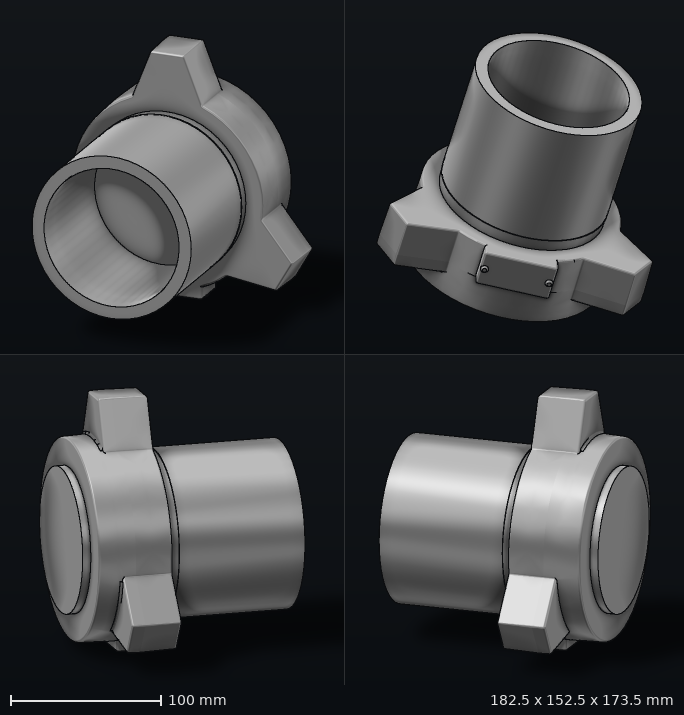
import cadquery as cq
import math


overall_length = 152.5
spigot_end = 56.8
spigot_radius = 49.7
neck_radius = 57.0
neck_end = -8.2
pipe_radius = 57.5
bore_radius = 48.7
pipe_end = spigot_end - overall_length

nut_radius = 69.7
nut_front = 51.1
parting_height = 25.5
draft_angle = 1.5
edge_radius = 1.6

lug_count = 3
lug_front = 34.7
lug_tip_distance = 98.5
lug_tip_half_width = 12.6
lug_side_angle = 21.4
collar_half_width = 22.8

tab_half_width = 25.2
tab_reach = 73.4

stud_half_spacing = 22.3
stud_position = 12.8
stud_base_radius = 2.7
stud_tip_radius = 1.5
stud_reach = 75.0


def plane_at(y):
    """Plane across the axis, with its local axes along X and Z and its normal toward -Y."""
    return cq.Workplane("XZ", origin=(0, y, 0))


def cylinder(radius, y_start, y_end):
    return plane_at(y_end).circle(radius).extrude(y_end - y_start)


def turned(angle):
    """Location turned about the centre of a sketch."""
    return cq.Location(cq.Vector(0, 0, 0), cq.Vector(0, 0, 1), angle)


def lug_angles():
    return [index * 360 / lug_count for index in range(lug_count)]


def nut_outline():
    """Nut circle with its lugs; the circle starts inside the top lug, clear of every corner."""
    buried_distance = nut_radius / 2
    side_slope = math.tan(math.radians(lug_side_angle))
    buried_half_width = lug_tip_half_width + (lug_tip_distance - buried_distance) * side_slope
    lug_points = [
        (lug_tip_half_width, lug_tip_distance),
        (-lug_tip_half_width, lug_tip_distance),
        (-buried_half_width, buried_distance),
        (buried_half_width, buried_distance),
        (lug_tip_half_width, lug_tip_distance),
    ]
    outline = cq.Sketch().push([turned(90)]).circle(nut_radius).reset()
    return outline.push([turned(angle) for angle in lug_angles()]).polygon(lug_points).reset()


def rounded(outline):
    return outline.clean().vertices().fillet(edge_radius).reset()


def drafted_from_parting(outline, y_end):
    return plane_at(parting_height).placeSketch(outline).extrude(parting_height - y_end, taper=draft_angle)


def back_half():
    """Half behind the parting plane: the nut and lugs in one drafted outline."""
    half = drafted_from_parting(rounded(nut_outline()), 0)
    return half.faces("<Y").edges().fillet(edge_radius)


def make_tab():
    """Tab from the parting plane to the back face; its upper end is buried in the nut."""
    tab = plane_at(parting_height).center(0, -tab_reach / 2).rect(2 * tab_half_width, tab_reach)
    return tab.extrude(parting_height).edges().fillet(edge_radius)


def front_half():
    """Half in front of the parting plane: the rest of the lugs and a plain drafted drum."""
    lugs = drafted_from_parting(rounded(nut_outline()), lug_front)
    drum = drafted_from_parting(cq.Sketch().circle(nut_radius), nut_front)
    lugs = lugs.faces(">Y").edges().fillet(edge_radius)
    drum = drum.faces(">Y").edges().fillet(edge_radius)
    return lugs.union(drum)


def lug_collar():
    """Concave fillet between the front of the top lug and the drum."""
    inner = nut_radius - edge_radius
    surface = nut_radius - (lug_front - parting_height) * math.tan(math.radians(draft_angle))
    bulge = edge_radius * (1 - math.sqrt(0.5))
    ring = (
        cq.Workplane("XY")
        .moveTo(inner, lug_front - edge_radius)
        .lineTo(surface + edge_radius, lug_front - edge_radius)
        .lineTo(surface + edge_radius, lug_front)
        .threePointArc((surface + bulge, lug_front + bulge), (surface, lug_front + edge_radius))
        .lineTo(inner, lug_front + edge_radius)
        .close()
        .revolve(360, (0, 0, 0), (0, 1, 0))
    )
    window = cq.Workplane("XY").box(
        2 * collar_half_width, 2 * nut_front, lug_tip_distance, centered=(True, True, False)
    )
    return ring.intersect(window)


def make_studs():
    """Tapered studs, each with a straight root that reaches into the rounded edge of the tab."""
    taper_height = stud_reach - tab_reach
    root = cq.Solid.makeCylinder(stud_base_radius, edge_radius, cq.Vector(0, 0, taper_height))
    stud = cq.Solid.makeCone(stud_tip_radius, stud_base_radius, taper_height).fuse(root)
    tips = [(-stud_half_spacing, stud_position), (stud_half_spacing, stud_position)]
    tip_plane = cq.Workplane("XY", origin=(0, 0, -stud_reach))
    return tip_plane.pushPoints(tips).eachpoint(stud, combine=False)


def make_nut():
    nut = back_half().union(front_half())
    collar = lug_collar()
    for angle in lug_angles():
        nut = nut.union(collar.rotate((0, 0, 0), (0, 1, 0), angle))
    return nut.union(make_tab()).union(make_studs())


def make_pipe():
    neck = cylinder(neck_radius, neck_end, 0)
    pipe = cylinder(pipe_radius, pipe_end, neck_end)
    bore = cylinder(bore_radius, pipe_end, neck_end)
    return neck.union(pipe).cut(bore)


spigot = cylinder(spigot_radius, nut_front, spigot_end)
result = make_nut().union(make_pipe()).union(spigot)